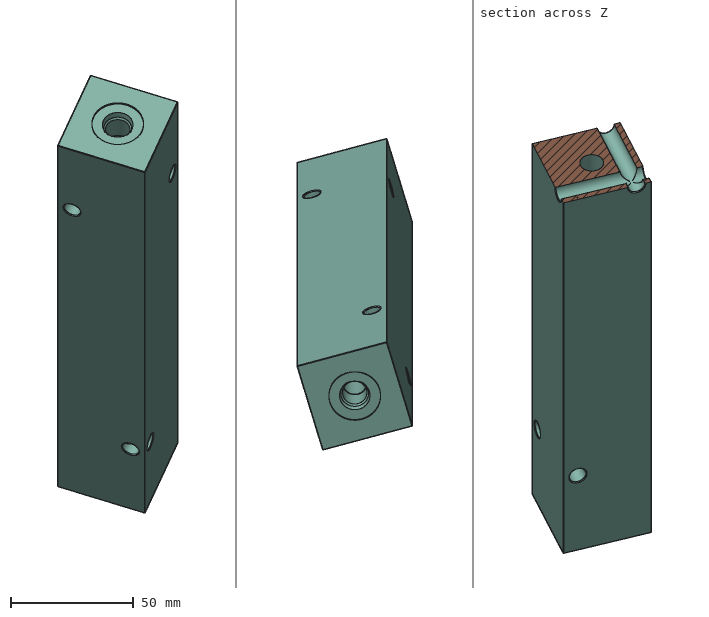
import cadquery as cq
import math

side = 38.1
length = 234.95
edge_chamfer = 0.254

cross_hole_diameter = 7.1
cross_hole_chamfer = 0.38
cross_hole_edge_distance = 6.35
cross_hole_spacing = 152.4
cross_hole_offset = side / 2 - cross_hole_edge_distance

bore_diameter = 9.525
port_diameter = 9.9
port_depth = 14.0
port_mouth_diameter = 12.4
port_taper_half_angle = 12.0
port_taper_depth = 2.5
spotface_diameter = 21.0
spotface_depth = 0.8


def make_bar():
    """Square bar standing along Z, centred on the origin, with all edges broken."""
    return cq.Workplane("XY").box(side, side, length).edges().chamfer(edge_chamfer)


def make_port():
    """Port cutter for the upper end: spotface, steep taper, 45 degree lead-in and tap drill."""
    port_radius = port_diameter / 2
    mouth_radius = port_mouth_diameter / 2
    taper_end_radius = mouth_radius - port_taper_depth * math.tan(math.radians(port_taper_half_angle))
    lead_in_depth = taper_end_radius - port_radius
    top = length / 2
    spotface_floor = top - spotface_depth
    taper_bottom = spotface_floor - port_taper_depth
    lead_in_bottom = taper_bottom - lead_in_depth
    port_bottom = spotface_floor - port_depth
    profile = [
        (0, top),
        (spotface_diameter / 2, top),
        (spotface_diameter / 2, spotface_floor),
        (mouth_radius, spotface_floor),
        (taper_end_radius, taper_bottom),
        (port_radius, lead_in_bottom),
        (port_radius, port_bottom),
        (0, port_bottom),
    ]
    return cq.Workplane("XZ").polyline(profile).close().revolve(360, (0, 0, 0), (0, 1, 0))


def make_bore():
    """Cutter for the bore along the full length."""
    return cq.Workplane("XY").circle(bore_diameter / 2).extrude(length / 2, both=True)


def make_cross_hole():
    """Cutter along Y for one through hole, countersunk at both faces, centred on the origin."""
    hole_radius = cross_hole_diameter / 2
    mouth_radius = hole_radius + cross_hole_chamfer
    face = side / 2
    chamfer_bottom = face - cross_hole_chamfer
    profile = [
        (0, -face),
        (mouth_radius, -face),
        (hole_radius, -chamfer_bottom),
        (hole_radius, chamfer_bottom),
        (mouth_radius, face),
        (0, face),
    ]
    return cq.Workplane("XY").polyline(profile).close().revolve(360, (0, 0, 0), (0, 1, 0))


def make_cross_hole_pair():
    """Cutter for two diagonally placed holes along Y."""
    hole = make_cross_hole()
    upper = hole.translate((-cross_hole_offset, 0, cross_hole_spacing / 2))
    lower = hole.translate((cross_hole_offset, 0, -cross_hole_spacing / 2))
    return upper.add(lower).combine()


upper_port = make_port()
lower_port = upper_port.mirror("XY")
holes_along_y = make_cross_hole_pair()
holes_along_x = holes_along_y.rotate((0, 0, 0), (0, 0, 1), -90)

result = make_bar()
for cutter in (make_bore(), upper_port, lower_port, holes_along_y, holes_along_x):
    result = result.cut(cutter)